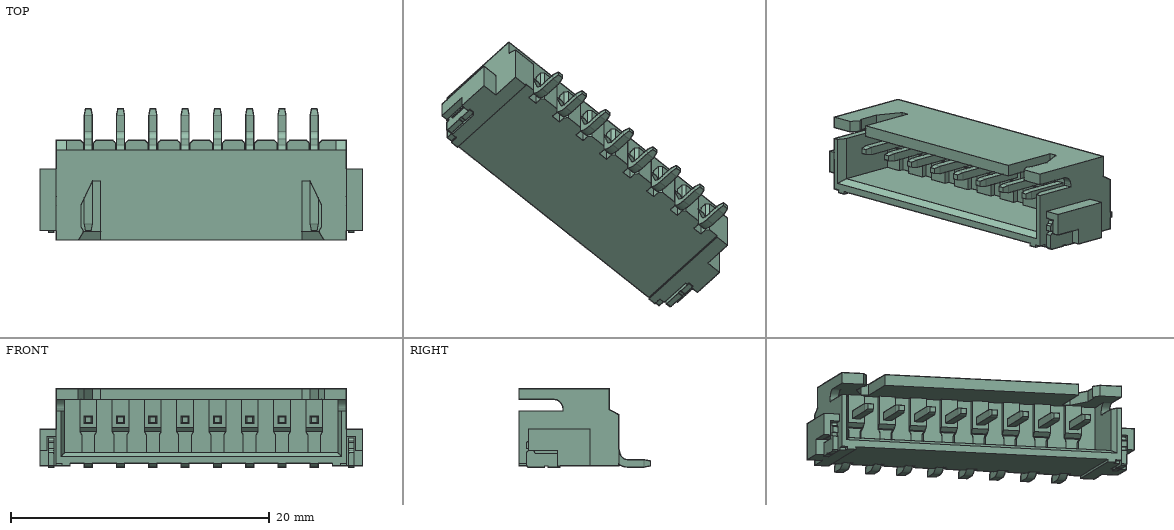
import cadquery as cq
import math


TOP_Z = 6.1
BODY_BOTTOM_Z = 0.3
FOOT_BOTTOM_Z = 0.1
BODY_HALF_WIDTH = 11.25
BODY_DEPTH = 7.75
ROOF_DEPTH = 7.0
REAR_SLOPE_TOP_Z = 4.48
LEDGE_Z = 4.08
END_BLOCK_WIDTH = 0.8
FOOT_INNER_X = 10.15
FOOT_NOTCH_X = 10.8
FOOT_NOTCH_DEPTH = 0.58

CAVITY_HALF_WIDTH = 10.58
CAVITY_FLOOR_Z = 1.13
CAVITY_ROOF_Z = 5.25
CAVITY_DEPTH = 5.15
LEAD_IN = 0.3
LEAD_IN_DEPTH = 0.67

SIDE_SLOT_BOTTOM_Z = 4.37
SIDE_SLOT_DEPTH = 3.4
SIDE_SLOT_RADIUS = 0.72
ROOF_SLOT_OUTLINE = [
    (7.8, 0),
    (7.8, 4.6),
    (8.42, 4.6),
    (9.32, 2.72),
    (9.32, 1.05),
    (9.1, 0.67),
    (9.53, 0),
]

SEAT_WIDTH = 1.3
SEAT_THICKNESS = 0.4
SEAT_BOTTOM_Z = 2.77
SEAT_SLOPE_HEIGHT = 0.3
GROOVE_WIDTH = 1.0
GROOVE_FLARE_WIDTH = 0.15
GROOVE_FLARE_HEIGHT = 0.27
GROOVE_DEPTH = 0.4
REAR_SLOT_WIDTH = 0.74
REAR_SLOT_CHAMFER = 0.23

PIN_COUNT = 8
PITCH = 2.5
PIN_WIDTH = 0.64
PIN_THICKNESS = 0.6
PIN_AXIS_Z = 3.68
PIN_TIP_Y = 0.75
PIN_TAPER = 0.52
PIN_TIP_INSET = 0.1
TAIL_END_Y = 10.2
TAIL_BEND_Y = 8.43
LEG_STEEPNESS = 75
TAIL_BEND_RADIUS = 0.6
SHOULDER_RADIUS = 1.66

EAR_OUTER_X = 12.5
EAR_TOP_Z = 2.95
EAR_FRONT_Y = 0.74
EAR_REAR_Y = 5.52
EAR_NOTCH_Y = 3.0
EAR_NOTCH_TOP_Z = 1.28
EAR_POCKET_X = 11.96
EAR_POCKET_TOP_Z = 2.4

NAIL_INNER_X = 11.42
NAIL_OUTER_X = 11.84
NAIL_FRONT_Y = 0.58
NAIL_REAR_Y = 3.2
NAIL_TOP_Z = 2.26
NAIL_PLATE_TOP_Z = 1.06
NAIL_POST_REAR_Y = 1.15
NAIL_ARM_BOTTOM_Z = 1.3
NAIL_BEVEL = 0.12
BUMP_BOTTOM_Z = 1.47
BUMP_TOP_Z = 2.03
BUMP_UNDERCUT_RADIUS = 0.1
SOLE_NOTCH_Y = 2.0
SOLE_NOTCH_WIDTH = 0.25
SOLE_NOTCH_DEPTH = 0.08


def box(x0, x1, y0, y1, z0, z1):
    """Axis-aligned block between the given limits."""
    return cq.Workplane("XY").box(x1 - x0, y1 - y0, z1 - z0, centered=False).translate((x0, y0, z0))


def both_sides(shape):
    """The +X shape together with its mirror image."""
    return shape.union(shape.mirror("YZ"))


def side_profile(x0):
    """Sketch plane at x0 whose local axes are Y and Z."""
    return cq.Workplane("YZ", origin=(x0, 0, 0))


def make_shell():
    profile = [
        (0, BODY_BOTTOM_Z),
        (BODY_DEPTH, BODY_BOTTOM_Z),
        (BODY_DEPTH, LEDGE_Z),
        (ROOF_DEPTH, REAR_SLOPE_TOP_Z),
        (ROOF_DEPTH, TOP_Z),
        (0, TOP_Z),
    ]
    width = 2 * BODY_HALF_WIDTH
    shell = side_profile(-BODY_HALF_WIDTH).polyline(profile).close().extrude(width)
    ledge_half = BODY_HALF_WIDTH - END_BLOCK_WIDTH
    ledge_clearance = box(-ledge_half, ledge_half, ROOF_DEPTH, BODY_DEPTH, LEDGE_Z, REAR_SLOPE_TOP_Z)
    return shell.cut(ledge_clearance)


def make_foot():
    foot = box(FOOT_INNER_X, BODY_HALF_WIDTH, 0, BODY_DEPTH, FOOT_BOTTOM_Z, BODY_BOTTOM_Z)
    notch = box(FOOT_NOTCH_X, BODY_HALF_WIDTH, 0, FOOT_NOTCH_DEPTH, FOOT_BOTTOM_Z, BODY_BOTTOM_Z)
    return foot.cut(notch)


def make_cavity():
    cavity = box(-CAVITY_HALF_WIDTH, CAVITY_HALF_WIDTH, 0, CAVITY_DEPTH, CAVITY_FLOOR_Z, CAVITY_ROOF_Z)
    mouth_half = CAVITY_HALF_WIDTH + LEAD_IN
    lead_in = cq.Workplane(
        cq.Solid.makeLoft(
            [
                mouth_wire(mouth_half, CAVITY_FLOOR_Z - LEAD_IN, 0),
                mouth_wire(CAVITY_HALF_WIDTH, CAVITY_FLOOR_Z, LEAD_IN_DEPTH),
            ],
            True,
        )
    )
    return cavity.union(lead_in)


def mouth_wire(half_width, floor_z, y):
    """Rectangle of the cavity section at depth y."""
    corners = [
        (-half_width, y, floor_z),
        (half_width, y, floor_z),
        (half_width, y, CAVITY_ROOF_Z),
        (-half_width, y, CAVITY_ROOF_Z),
    ]
    return cq.Wire.makePolygon([cq.Vector(*corner) for corner in corners], close=True)


def make_side_slot():
    """Slot through a side wall, rounded at its upper rear corner."""
    slot = box(
        CAVITY_HALF_WIDTH, BODY_HALF_WIDTH, 0, SIDE_SLOT_DEPTH, SIDE_SLOT_BOTTOM_Z, CAVITY_ROOF_Z
    )
    return slot.edges(">Y and >Z").fillet(SIDE_SLOT_RADIUS)


def make_roof_slot():
    roof_plane = cq.Workplane("XY", origin=(0, 0, CAVITY_ROOF_Z))
    return roof_plane.polyline(ROOF_SLOT_OUTLINE).close().extrude(TOP_Z - CAVITY_ROOF_Z)


def make_seat(x):
    """Raised contact seat with a sloped underside."""
    front_y = CAVITY_DEPTH - SEAT_THICKNESS
    profile = [
        (CAVITY_DEPTH, SEAT_BOTTOM_Z),
        (front_y, SEAT_BOTTOM_Z + SEAT_SLOPE_HEIGHT),
        (front_y, CAVITY_ROOF_Z),
        (CAVITY_DEPTH, CAVITY_ROOF_Z),
    ]
    return side_profile(x - SEAT_WIDTH / 2).polyline(profile).close().extrude(SEAT_WIDTH)


def make_groove(x):
    """Groove in the rear wall below a seat, flared at its top."""
    half = GROOVE_WIDTH / 2
    profile = [
        (x - half, CAVITY_FLOOR_Z),
        (x + half, CAVITY_FLOOR_Z),
        (x + half, SEAT_BOTTOM_Z - GROOVE_FLARE_HEIGHT),
        (x + half + GROOVE_FLARE_WIDTH, SEAT_BOTTOM_Z),
        (x - half - GROOVE_FLARE_WIDTH, SEAT_BOTTOM_Z),
        (x - half, SEAT_BOTTOM_Z - GROOVE_FLARE_HEIGHT),
    ]
    wall = cq.Workplane("XZ", origin=(0, CAVITY_DEPTH, 0))
    return wall.polyline(profile).close().extrude(-GROOVE_DEPTH)


def make_rear_slot(x):
    """Open slot for a contact leg, with chamfered rear corners."""
    half = REAR_SLOT_WIDTH / 2
    wide = half + REAR_SLOT_CHAMFER
    chamfer_y = BODY_DEPTH - REAR_SLOT_CHAMFER
    profile = [
        (x - half, ROOF_DEPTH),
        (x + half, ROOF_DEPTH),
        (x + half, chamfer_y),
        (x + wide, BODY_DEPTH),
        (x - wide, BODY_DEPTH),
        (x - half, chamfer_y),
    ]
    bottom = cq.Workplane("XY", origin=(0, 0, BODY_BOTTOM_Z))
    return bottom.polyline(profile).close().extrude(LEDGE_Z - BODY_BOTTOM_Z)


def make_pin(x):
    """Contact: mating blade, rear leg and solder tail, bent from one bar."""
    top_z = PIN_AXIS_Z + PIN_THICKNESS / 2
    bottom_z = PIN_AXIS_Z - PIN_THICKNESS / 2
    blade_y = PIN_TIP_Y + PIN_TAPER
    tail_y = TAIL_END_Y - PIN_TAPER
    sine = math.sin(math.radians(LEG_STEEPNESS))
    cosine = math.cos(math.radians(LEG_STEEPNESS))
    heel_radius = TAIL_BEND_RADIUS + PIN_THICKNESS
    inner_shoulder_radius = SHOULDER_RADIUS - PIN_THICKNESS
    tail_center_z = heel_radius
    shoulder_center_z = top_z - SHOULDER_RADIUS
    leg_rise = shoulder_center_z - tail_center_z + (SHOULDER_RADIUS + TAIL_BEND_RADIUS) * cosine
    leg_run = leg_rise * cosine / sine
    shoulder_y = TAIL_BEND_Y - (SHOULDER_RADIUS + TAIL_BEND_RADIUS) * sine - leg_run

    def tail_bend_end(radius):
        return (TAIL_BEND_Y - radius * sine, tail_center_z - radius * cosine)

    def shoulder_end(radius):
        return (shoulder_y + radius * sine, shoulder_center_z + radius * cosine)

    bar = (
        side_profile(x - PIN_WIDTH / 2)
        .moveTo(blade_y, top_z)
        .lineTo(shoulder_y, top_z)
        .radiusArc(shoulder_end(SHOULDER_RADIUS), SHOULDER_RADIUS)
        .lineTo(*tail_bend_end(TAIL_BEND_RADIUS))
        .radiusArc((TAIL_BEND_Y, PIN_THICKNESS), -TAIL_BEND_RADIUS)
        .lineTo(tail_y, PIN_THICKNESS)
        .lineTo(tail_y, 0)
        .lineTo(TAIL_BEND_Y, 0)
        .radiusArc(tail_bend_end(heel_radius), heel_radius)
        .lineTo(*shoulder_end(inner_shoulder_radius))
        .radiusArc((shoulder_y, bottom_z), -inner_shoulder_radius)
        .lineTo(blade_y, bottom_z)
        .close()
        .extrude(PIN_WIDTH)
    )
    tip = make_taper(x, blade_y, PIN_TIP_Y, PIN_AXIS_Z)
    tail_tip = make_taper(x, tail_y, TAIL_END_Y, PIN_THICKNESS / 2)
    return bar.union(tip).union(tail_tip)


def make_taper(x, base_y, end_y, axis_z):
    """Tapered bar end running along Y from base_y to end_y."""
    shrink = 2 * PIN_TIP_INSET
    base = cq.Workplane("XZ", origin=(x, base_y, axis_z)).rect(PIN_WIDTH, PIN_THICKNESS)
    end = base.workplane(offset=base_y - end_y).rect(PIN_WIDTH - shrink, PIN_THICKNESS - shrink)
    return end.loft(ruled=True)


def make_ear():
    """Side ear, open at the lower front for its solder nail."""
    ear = box(BODY_HALF_WIDTH, EAR_OUTER_X, EAR_FRONT_Y, EAR_REAR_Y, FOOT_BOTTOM_Z, EAR_TOP_Z)
    notch = box(BODY_HALF_WIDTH, EAR_OUTER_X, EAR_FRONT_Y, EAR_NOTCH_Y, FOOT_BOTTOM_Z, EAR_NOTCH_TOP_Z)
    pocket = box(BODY_HALF_WIDTH, EAR_POCKET_X, EAR_FRONT_Y, EAR_NOTCH_Y, FOOT_BOTTOM_Z, EAR_POCKET_TOP_Z)
    return ear.cut(notch).cut(pocket)


def make_nail():
    """Upright plate: sole plate, front post and an arm anchored in the ear."""
    nail = (
        side_profile(NAIL_INNER_X)
        .moveTo(NAIL_REAR_Y, 0)
        .lineTo(NAIL_FRONT_Y + NAIL_BEVEL, 0)
        .lineTo(NAIL_FRONT_Y, NAIL_BEVEL)
        .lineTo(NAIL_FRONT_Y, EAR_NOTCH_TOP_Z - NAIL_BEVEL)
        .lineTo(EAR_FRONT_Y, EAR_NOTCH_TOP_Z)
        .radiusArc((EAR_FRONT_Y, BUMP_BOTTOM_Z), -BUMP_UNDERCUT_RADIUS)
        .lineTo(NAIL_FRONT_Y, BUMP_BOTTOM_Z)
        .lineTo(NAIL_FRONT_Y, BUMP_TOP_Z - NAIL_BEVEL)
        .lineTo(EAR_FRONT_Y, BUMP_TOP_Z)
        .lineTo(EAR_FRONT_Y + NAIL_BEVEL, NAIL_TOP_Z)
        .lineTo(NAIL_REAR_Y, NAIL_TOP_Z)
        .lineTo(NAIL_REAR_Y, NAIL_ARM_BOTTOM_Z)
        .lineTo(NAIL_POST_REAR_Y, NAIL_ARM_BOTTOM_Z)
        .lineTo(NAIL_POST_REAR_Y + NAIL_BEVEL, NAIL_PLATE_TOP_Z)
        .lineTo(NAIL_REAR_Y, NAIL_PLATE_TOP_Z)
        .close()
        .extrude(NAIL_OUTER_X - NAIL_INNER_X)
    )
    sole_notch = box(
        NAIL_INNER_X, NAIL_OUTER_X, SOLE_NOTCH_Y, SOLE_NOTCH_Y + SOLE_NOTCH_WIDTH, 0, SOLE_NOTCH_DEPTH
    )
    return nail.cut(sole_notch)


pin_positions = [(i - (PIN_COUNT - 1) / 2) * PITCH for i in range(PIN_COUNT)]

part = make_shell().union(both_sides(make_foot()))
part = part.cut(make_cavity())
part = part.cut(both_sides(make_side_slot()))
part = part.cut(both_sides(make_roof_slot()))
part = part.union(both_sides(make_ear()))
part = part.union(both_sides(make_nail()))
for pin_x in pin_positions:
    part = part.cut(make_groove(pin_x)).cut(make_rear_slot(pin_x))
    part = part.union(make_seat(pin_x)).union(make_pin(pin_x))

result = part